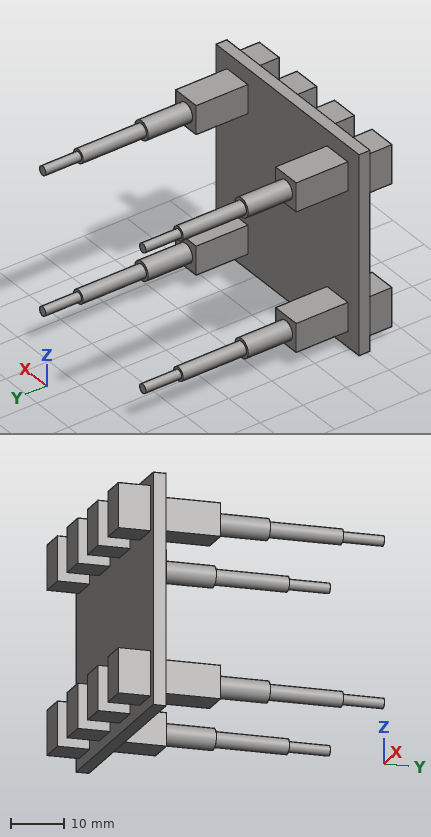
import cadquery as cq

overall_depth = 54.19

plate_side = 45.72
plate_thickness = 2.54

pad_width = 6.35
pad_height = 8.89
pad_depth = 6.35
pad_pitch = 12.0
pads_per_row = 4
pad_row_spacing = 32.5

pin_spacing = 31.96
pin_base_side = 6.6
pin_base_length = 12.0
lower_shank_diameter = 4.25
lower_shank_length = 10.3
middle_shank_diameter = 3.05
middle_shank_length = 14.7
tip_diameter = 2.03
tip_length = (
    overall_depth
    - pad_depth
    - plate_thickness
    - pin_base_length
    - lower_shank_length
    - middle_shank_length
)


def make_plate():
    """Square plate reaching from Y = 0 back to Y = plate_thickness."""
    return cq.Workplane("XY").box(
        plate_side, plate_thickness, plate_side, centered=(True, False, True)
    )


def make_pad(x, z):
    """Rectangular pad projecting forward from the plate's front face."""
    pad = cq.Workplane("XY").box(pad_width, pad_depth, pad_height, centered=(True, False, True))
    return pad.translate((x, -pad_depth, z))


def make_pin(x, z):
    """Square base followed by three round sections of decreasing diameter."""
    pin = cq.Workplane("XY").box(
        pin_base_side, pin_base_length, pin_base_side, centered=(True, False, True)
    )
    sections = (
        (lower_shank_diameter, lower_shank_length),
        (middle_shank_diameter, middle_shank_length),
        (tip_diameter, tip_length),
    )
    for diameter, length in sections:
        pin = pin.faces(">Y").workplane(centerOption="CenterOfMass").circle(diameter / 2).extrude(length)
    return pin.translate((x, plate_thickness, z))


def make_pads():
    """Both rows of pads, evenly spaced along X."""
    pads = cq.Workplane("XY")
    first_pad_x = -(pads_per_row - 1) * pad_pitch / 2
    for z in (-pad_row_spacing / 2, pad_row_spacing / 2):
        for column in range(pads_per_row):
            pads = pads.add(make_pad(first_pad_x + column * pad_pitch, z))
    return pads


def make_pins():
    """Four pins on a square pattern centred on the plate."""
    pins = cq.Workplane("XY")
    pin_offset = pin_spacing / 2
    for x in (-pin_offset, pin_offset):
        for z in (-pin_offset, pin_offset):
            pins = pins.add(make_pin(x, z))
    return pins


result = make_plate()
for feature in make_pads().vals() + make_pins().vals():
    result = result.union(cq.Workplane(feature))